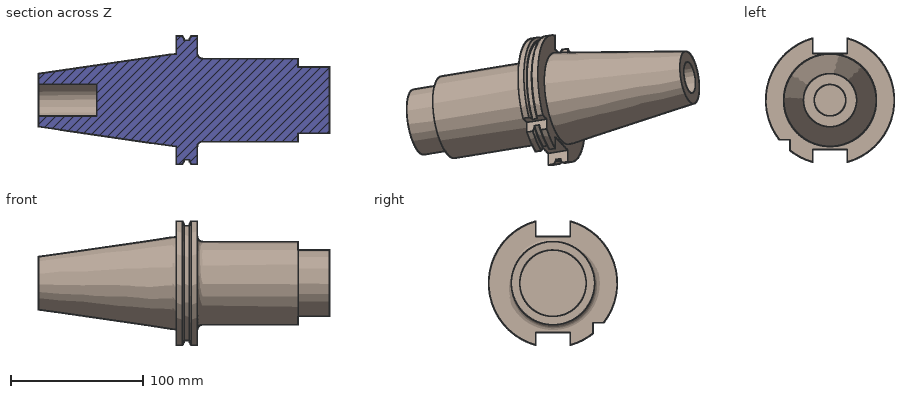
import cadquery as cq
import math


overall_length = 220.6
small_end_x = -overall_length / 2

gauge_diameter = 70.0
gauge_radius = gauge_diameter / 2
taper_length = 101.7
taper_slope = 7 / 48
small_end_radius = gauge_radius - taper_length * taper_slope
collar_length = 1.3
collar_flare_length = 1.3
collar_flare = 0.2

flange_radius = 48.8
flange_width = 16.0
groove_width = 6.6
groove_depth = 3.3
groove_root_width = 4.0
groove_bevel_depth = 2.2

body_radius = 31.5
body_fillet = 4.0
nose_radius = 25.2
nose_length = 23.8

bore_radius = 12.0
bore_depth = 44.1

slot_width = 25.8
upper_slot_floor = 35.5
lower_slot_floor = 37.5
notch_side_y = 30.5
notch_top_z = -30.0

gauge_x = small_end_x + taper_length
collar_end_x = gauge_x + collar_length
flange_front_x = collar_end_x + collar_flare_length
flange_back_x = flange_front_x + flange_width
body_end_x = small_end_x + overall_length - nose_length


def turned_body():
    """Revolve the half profile, drawn as (axial position, radius)."""
    groove_x = (flange_front_x + flange_back_x) / 2
    rim_half = groove_width / 2
    root_half = groove_root_width / 2
    root_radius = flange_radius - groove_depth
    bevel_radius = flange_radius - groove_bevel_depth
    fillet_x = flange_back_x + body_fillet
    fillet_center_radius = body_radius + body_fillet
    fillet_reach = body_fillet * math.sqrt(0.5)
    profile = (
        cq.Workplane("XY")
        .moveTo(small_end_x, 0)
        .lineTo(small_end_x, small_end_radius)
        .lineTo(gauge_x, gauge_radius)
        .lineTo(collar_end_x, gauge_radius)
        .lineTo(flange_front_x, gauge_radius + collar_flare)
        .lineTo(flange_front_x, flange_radius)
        .lineTo(groove_x - rim_half, flange_radius)
        .lineTo(groove_x - root_half, bevel_radius)
        .lineTo(groove_x - root_half, root_radius)
        .lineTo(groove_x + root_half, root_radius)
        .lineTo(groove_x + root_half, bevel_radius)
        .lineTo(groove_x + rim_half, flange_radius)
        .lineTo(flange_back_x, flange_radius)
        .lineTo(flange_back_x, fillet_center_radius)
        .threePointArc(
            (fillet_x - fillet_reach, fillet_center_radius - fillet_reach),
            (fillet_x, body_radius),
        )
        .lineTo(body_end_x, body_radius)
        .lineTo(body_end_x, nose_radius)
        .lineTo(body_end_x + nose_length, nose_radius)
        .lineTo(body_end_x + nose_length, 0)
        .close()
    )
    return profile.revolve(360, (0, 0, 0), (1, 0, 0))


def flange_cutter(width_y, center_y, inner_z, outer_z):
    """Block across the full flange width, spanning inner_z to outer_z."""
    return (
        cq.Workplane("YZ", origin=(flange_front_x, 0, 0))
        .center(center_y, (inner_z + outer_z) / 2)
        .rect(width_y, abs(outer_z - inner_z))
        .extrude(flange_width)
    )


def bore():
    return cq.Workplane("YZ", origin=(small_end_x, 0, 0)).circle(bore_radius).extrude(bore_depth)


upper_slot = flange_cutter(slot_width, 0, upper_slot_floor, flange_radius)
lower_slot = flange_cutter(slot_width, 0, -lower_slot_floor, -flange_radius)
notch_width = flange_radius - notch_side_y
notch = flange_cutter(notch_width, notch_side_y + notch_width / 2, notch_top_z, -flange_radius)

result = turned_body().cut(bore()).cut(upper_slot).cut(lower_slot).cut(notch)